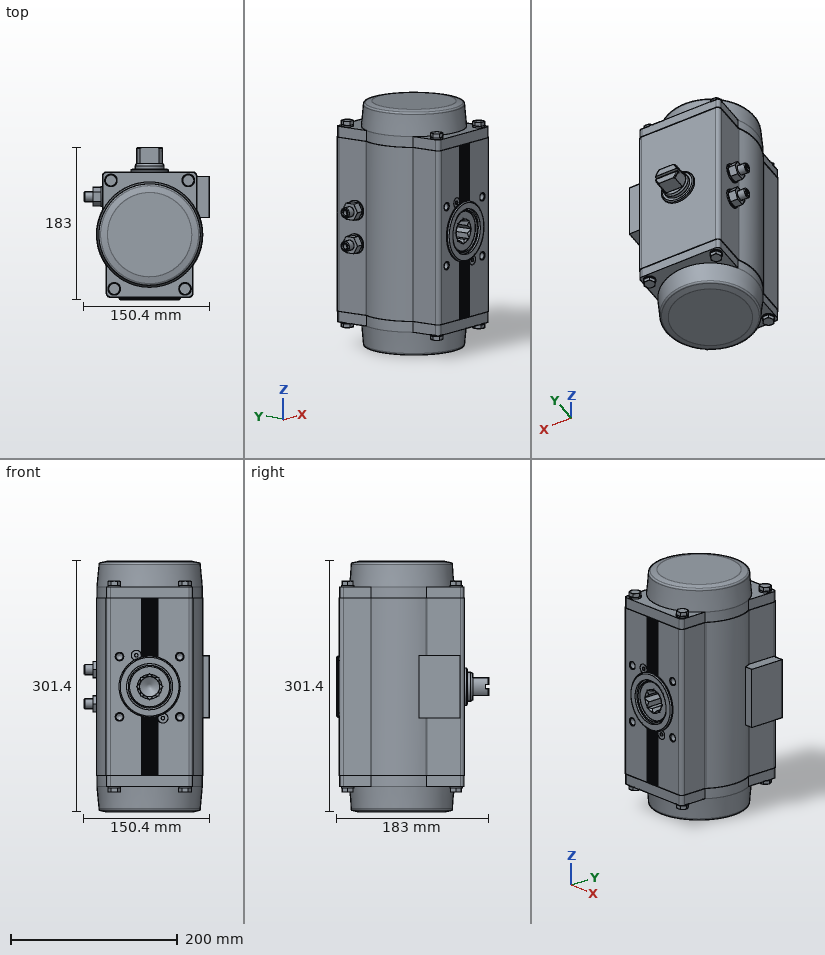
import cadquery as cq
import math


BARREL_RADIUS = 64.0
UPPER_HALF_WIDTH = 56.7
LOWER_HALF_WIDTH = 52.0
FACE_Y = 75.5
HALF_LENGTH = 106.7
CORNER_RADIUS = 5.0
NECK_RADIUS = 3.0

PAD_X = 71.7
PAD_Y_MIN = 20.5
PAD_Y_MAX = 70.0
PAD_HEIGHT = 74.7

SERRATION_COUNT = 14
SERRATION_PITCH = 1.45
SERRATION_WIDTH = 0.75
SERRATION_DEPTH = 0.3

MOUNT_OFFSET = 36.2
MOUNT_DIAMETER = 8.5
MOUNT_MOUTH_DIAMETER = 10.2
MOUNT_DEPTH = 15.0
DRILL_POINT_ANGLE = 118.0

CAP_INSET = 0.5
PLATE_THICKNESS = 13.3
CAP_END_Z = 150.7
DOME_BASE_RADIUS = BARREL_RADIUS - CAP_INSET
DOME_SHOULDER_RADIUS = 61.0
DOME_SHOULDER_Z = 146.5
DOME_RIM_RADIUS = 58.8
DOME_RIM_Z = 149.0
DOME_FLAT_RADIUS = 50.5

BOLT_Y = 65.0
UPPER_BOLT_X = 46.5
LOWER_BOLT_X = 42.5
BOLT_WASHER_DIAMETER = 15.0
BOLT_WASHER_THICKNESS = 1.8
BOLT_HEAD_CORNERS = 15.0
BOLT_HEAD_HEIGHT = 4.8
BOLT_HEAD_CHAMFER_HEIGHT = 0.3
BOLT_HEAD_CHAMFER_DEPTH = 1.0

SHAFT_TIP_Y = 104.5
SHAFT_TIP_DIAMETER = 31.3
SHAFT_TIP_CHAMFER = 1.2
SHAFT_FLATS = 21.7
FLATS_START_Y = 85.3
SLOT_WIDTH = 4.8
SLOT_DEPTH = 4.0
COLLAR_DIAMETER = 35.0
COLLAR_CHAMFER_LENGTH = 2.7
COLLAR_CHAMFER_DEPTH = 1.5
THRUST_DIAMETER = 45.2
THRUST_THICKNESS = 3.3
THRUST_CHAMFER_LENGTH = 1.0
THRUST_CHAMFER_DEPTH = 1.8
JOURNAL_DIAMETER = 51.2
JOURNAL_CHAMFER = 1.5
JOURNAL_RECESS = 1.5
JOURNAL_LENGTH = 45.2

SHAFT_END_Y = -FACE_Y + JOURNAL_RECESS
JOURNAL_END_Y = SHAFT_END_Y + JOURNAL_LENGTH

SOCKET_SQUARE = 22.3
SOCKET_DEPTH = 30.0
SOCKET_MOUTH_DIAMETER = 29.5
SOCKET_MOUTH_CHAMFER = 2.7
SOCKET_DRILL_DIAMETER = 24.0

RING_OUTER_DIAMETER = 73.5
RING_INNER_DIAMETER = 55.5
RING_THICKNESS = 3.0
RING_CHAMFER = 1.5

SCREW_X = 16.0
SCREW_Z = 37.7
SCREW_DIAMETER = 12.0
SCREW_DEPTH = 6.0
SCREW_HOLE_DIAMETER = 4.2
SCREW_HOLE_DEPTH = 0.5

FITTING_Y = 45.5
FITTING_Z = 20.5
FITTING_FLANGE_DIAMETER = 24.0
FITTING_FLANGE_THICKNESS = 1.5
FITTING_HEX_CORNERS = 23.0
FITTING_HEX_LENGTH = 10.0
FITTING_PIPE_DIAMETER = 12.5
FITTING_PIPE_LENGTH = 10.5
FITTING_PIPE_CHAMFER = 1.2
FITTING_BORE_DIAMETER = 6.0
FITTING_MOUTH_DIAMETER = 8.5
FITTING_BORE_DEPTH = 7.5


def drill_point(diameter):
    """Height of the conical bottom that a drill of this diameter leaves."""
    return diameter / 2 / math.tan(math.radians(DRILL_POINT_ANGLE / 2))


def along_y(y, x=0, z=0):
    """Workplane at (x, y, z) whose normal points along +Y."""
    return cq.Workplane(cq.Plane(origin=(x, y, z), xDir=(1, 0, 0), normal=(0, 1, 0)))


def section_prism(inset, start_z, length):
    """Barrel with a wide flat block towards +Y and a narrower one towards -Y."""
    face_y = FACE_Y - inset
    prism = cq.Workplane("XY", origin=(0, 0, start_z)).circle(BARREL_RADIUS - inset).extrude(length)
    for half_width, side in ((UPPER_HALF_WIDTH, 1), (LOWER_HALF_WIDTH, -1)):
        block = (
            cq.Workplane("XY", origin=(0, side * face_y / 2, start_z))
            .rect(2 * (half_width - inset), face_y)
            .extrude(length)
            .edges("|Z")
            .edges(">Y" if side > 0 else "<Y")
            .fillet(CORNER_RADIUS - inset)
        )
        prism = prism.union(block)
    return prism


def neck_edges(prism):
    """Lengthwise edges where the flat sides run into the barrel."""
    reach = 0.3

    def is_neck(edge):
        middle = edge.Center()
        on_barrel = abs(math.hypot(middle.x, middle.y) - BARREL_RADIUS) < reach
        on_side = min(abs(abs(middle.x) - UPPER_HALF_WIDTH), abs(abs(middle.x) - LOWER_HALF_WIDTH)) < reach
        return on_barrel and on_side

    edges = prism.edges("|Z").vals()
    return prism.newObject([edge for edge in edges if is_neck(edge)])


def serrations():
    """Shallow grooves along the -Y face, left out where the centring ring sits."""
    grooves = (
        cq.Workplane("XY", origin=(0, -FACE_Y, -HALF_LENGTH))
        .rarray(SERRATION_PITCH, 3, SERRATION_COUNT, 1)
        .rect(SERRATION_WIDTH, 2 * SERRATION_DEPTH)
        .extrude(2 * HALF_LENGTH)
    )
    ring_seat = along_y(-FACE_Y - SERRATION_DEPTH).circle(RING_OUTER_DIAMETER / 2)
    ring_seat = ring_seat.extrude(2 * SERRATION_DEPTH)
    return grooves.cut(ring_seat)


def mounting_hole(x, z):
    """Blind drilled hole with a chamfered mouth."""
    radius = MOUNT_DIAMETER / 2
    mouth = MOUNT_MOUTH_DIAMETER / 2
    bottom_y = -FACE_Y + MOUNT_DEPTH
    return (
        cq.Workplane("XY", origin=(x, 0, z))
        .moveTo(0, -FACE_Y)
        .lineTo(mouth, -FACE_Y)
        .lineTo(radius, -FACE_Y + mouth - radius)
        .lineTo(radius, bottom_y)
        .lineTo(0, bottom_y + drill_point(MOUNT_DIAMETER))
        .close()
        .revolve(360, (0, 0, 0), (0, 1, 0))
    )


def shaft_bore():
    """Stepped bore through the housing for the shaft."""
    journal = along_y(-FACE_Y).circle(JOURNAL_DIAMETER / 2).extrude(JOURNAL_END_Y + FACE_Y)
    through = along_y(-FACE_Y).circle(COLLAR_DIAMETER / 2).extrude(2 * FACE_Y)
    return journal.union(through)


def make_housing():
    body = section_prism(0, -HALF_LENGTH, 2 * HALF_LENGTH)
    body = neck_edges(body).fillet(NECK_RADIUS)
    pad = cq.Workplane("XY").box(PAD_X, PAD_Y_MAX - PAD_Y_MIN, PAD_HEIGHT, centered=(False, False, True))
    body = body.union(pad.translate((0, PAD_Y_MIN, 0)))
    body = body.cut(serrations())
    for x in (-MOUNT_OFFSET, MOUNT_OFFSET):
        for z in (-MOUNT_OFFSET, MOUNT_OFFSET):
            body = body.cut(mounting_hole(x, z))
    for side in (-1, 1):
        body = body.cut(screw_blank(side))
    return body.cut(shaft_bore())


def cap_bolt(x, y, seat_z):
    """Hexagon bolt head with a washer, standing on the cap plate."""
    head_z = seat_z + BOLT_WASHER_THICKNESS
    washer = cq.Workplane("XY", origin=(x, y, seat_z)).circle(BOLT_WASHER_DIAMETER / 2)
    washer = washer.extrude(BOLT_WASHER_THICKNESS)
    head = cq.Workplane("XY", origin=(x, y, head_z)).polygon(6, BOLT_HEAD_CORNERS).extrude(BOLT_HEAD_HEIGHT)
    rounding = cq.Workplane("XY", origin=(x, y, head_z)).circle(BOLT_HEAD_CORNERS / 2)
    rounding = rounding.extrude(BOLT_HEAD_HEIGHT)
    rounding = rounding.faces(">Z").chamfer(BOLT_HEAD_CHAMFER_HEIGHT, BOLT_HEAD_CHAMFER_DEPTH)
    return washer.union(head.intersect(rounding))


def make_cap():
    """Cap for the +Z end: plate, tapered dome and four bolts."""
    plate_top = HALF_LENGTH + PLATE_THICKNESS
    plate = section_prism(CAP_INSET, HALF_LENGTH, PLATE_THICKNESS)
    bulge = (DOME_SHOULDER_RADIUS - DOME_RIM_RADIUS) * (1 - math.sqrt(0.5))
    dome = (
        cq.Workplane("XZ")
        .moveTo(0, plate_top)
        .lineTo(DOME_BASE_RADIUS, plate_top)
        .lineTo(DOME_SHOULDER_RADIUS, DOME_SHOULDER_Z)
        .threePointArc(
            (DOME_SHOULDER_RADIUS - bulge, DOME_RIM_Z - bulge),
            (DOME_RIM_RADIUS, DOME_RIM_Z),
        )
        .lineTo(DOME_FLAT_RADIUS, CAP_END_Z)
        .lineTo(0, CAP_END_Z)
        .close()
        .revolve(360, (0, 0, 0), (0, 1, 0))
    )
    cap = plate.union(dome)
    for side in (-1, 1):
        cap = cap.union(cap_bolt(side * UPPER_BOLT_X, BOLT_Y, plate_top))
        cap = cap.union(cap_bolt(side * LOWER_BOLT_X, -BOLT_Y, plate_top))
    return cap


def drive_socket():
    """Eight-pointed socket of two crossed squares, with a drilled bottom."""
    cone_y = SHAFT_END_Y + SOCKET_DEPTH
    mouth = SOCKET_MOUTH_DIAMETER / 2
    square = along_y(SHAFT_END_Y).rect(SOCKET_SQUARE, SOCKET_SQUARE).extrude(SOCKET_DEPTH)
    star = square.union(square.rotate((0, 0, 0), (0, 1, 0), 45))
    drilled = cq.Workplane(
        cq.Solid.makeCone(
            SOCKET_DRILL_DIAMETER / 2,
            0,
            drill_point(SOCKET_DRILL_DIAMETER),
            cq.Vector(0, cone_y, 0),
            cq.Vector(0, 1, 0),
        )
    )
    countersink = cq.Workplane(
        cq.Solid.makeCone(
            mouth,
            mouth - SOCKET_MOUTH_CHAMFER,
            SOCKET_MOUTH_CHAMFER,
            cq.Vector(0, SHAFT_END_Y, 0),
            cq.Vector(0, 1, 0),
        )
    )
    return star.union(drilled).union(countersink)


def shaft_tip():
    """Round end with two flats and a screwdriver slot."""
    length = SHAFT_TIP_Y - FLATS_START_Y
    tip = along_y(FLATS_START_Y).circle(SHAFT_TIP_DIAMETER / 2).extrude(length)
    tip = tip.faces(">Y").chamfer(SHAFT_TIP_CHAMFER)
    flats = along_y(FLATS_START_Y).rect(SHAFT_TIP_DIAMETER, SHAFT_FLATS).extrude(length)
    slot = along_y(SHAFT_TIP_Y - SLOT_DEPTH).rect(SHAFT_TIP_DIAMETER, SLOT_WIDTH).extrude(SLOT_DEPTH)
    return tip.intersect(flats).cut(slot)


def make_shaft():
    journal = along_y(SHAFT_END_Y).circle(JOURNAL_DIAMETER / 2).extrude(JOURNAL_LENGTH)
    journal = journal.faces("<Y").chamfer(JOURNAL_CHAMFER)
    collar = along_y(JOURNAL_END_Y).circle(COLLAR_DIAMETER / 2).extrude(FLATS_START_Y - JOURNAL_END_Y)
    collar = collar.faces(">Y").chamfer(COLLAR_CHAMFER_LENGTH, COLLAR_CHAMFER_DEPTH)
    thrust = along_y(FACE_Y).circle(THRUST_DIAMETER / 2).extrude(THRUST_THICKNESS)
    thrust = thrust.faces(">Y").chamfer(THRUST_CHAMFER_LENGTH, THRUST_CHAMFER_DEPTH)
    shaft = journal.union(collar).union(thrust).union(shaft_tip())
    return shaft.cut(drive_socket())


def make_centring_ring():
    ring = along_y(-FACE_Y - RING_THICKNESS).circle(RING_OUTER_DIAMETER / 2).extrude(RING_THICKNESS)
    ring = ring.faces("<Y").chamfer(RING_CHAMFER)
    opening = along_y(-FACE_Y - RING_THICKNESS).circle(RING_INNER_DIAMETER / 2).extrude(RING_THICKNESS)
    return ring.cut(opening)


def screw_blank(side):
    """Plain disc of one ring screw; the two lie diagonally across the shaft."""
    return along_y(-FACE_Y, side * SCREW_X, -side * SCREW_Z).circle(SCREW_DIAMETER / 2).extrude(SCREW_DEPTH)


def make_ring_screw(side):
    hole = along_y(-FACE_Y, side * SCREW_X, -side * SCREW_Z).circle(SCREW_HOLE_DIAMETER / 2)
    return screw_blank(side).cut(hole.extrude(SCREW_HOLE_DEPTH))


def make_fitting(z):
    """Hexagon fitting with a flange on the housing side and a hollow pipe."""

    def outward(distance):
        face_x = -UPPER_HALF_WIDTH - distance
        plane = cq.Plane(origin=(face_x, FITTING_Y, z), xDir=(0, 1, 0), normal=(-1, 0, 0))
        return cq.Workplane(plane)

    hex_end = FITTING_FLANGE_THICKNESS + FITTING_HEX_LENGTH
    pipe_end = hex_end + FITTING_PIPE_LENGTH
    flange = outward(0).circle(FITTING_FLANGE_DIAMETER / 2).extrude(FITTING_FLANGE_THICKNESS)
    hexagon = outward(FITTING_FLANGE_THICKNESS).polygon(6, FITTING_HEX_CORNERS).extrude(FITTING_HEX_LENGTH)
    pipe = outward(hex_end).circle(FITTING_PIPE_DIAMETER / 2).extrude(FITTING_PIPE_LENGTH)
    pipe = pipe.faces("<X").chamfer(FITTING_PIPE_CHAMFER)
    bore = outward(pipe_end).circle(FITTING_BORE_DIAMETER / 2).extrude(-FITTING_BORE_DEPTH)
    mouth = cq.Solid.makeCone(
        FITTING_MOUTH_DIAMETER / 2,
        FITTING_BORE_DIAMETER / 2,
        (FITTING_MOUTH_DIAMETER - FITTING_BORE_DIAMETER) / 2,
        cq.Vector(-UPPER_HALF_WIDTH - pipe_end, FITTING_Y, z),
        cq.Vector(1, 0, 0),
    )
    return flange.union(hexagon).union(pipe).cut(bore).cut(cq.Workplane(mouth))


housing = make_housing()
upper_cap = make_cap()
lower_cap = upper_cap.mirror("XY")
shaft = make_shaft()
centring_ring = make_centring_ring()
ring_screws = [make_ring_screw(side).solids().val() for side in (-1, 1)]
fittings = [make_fitting(z).solids().val() for z in (-FITTING_Z, FITTING_Z)]

result = cq.Compound.makeCompound(
    [
        housing.solids().val(),
        upper_cap.solids().val(),
        lower_cap.solids().val(),
        shaft.solids().val(),
        centring_ring.solids().val(),
        *ring_screws,
        *fittings,
    ]
)